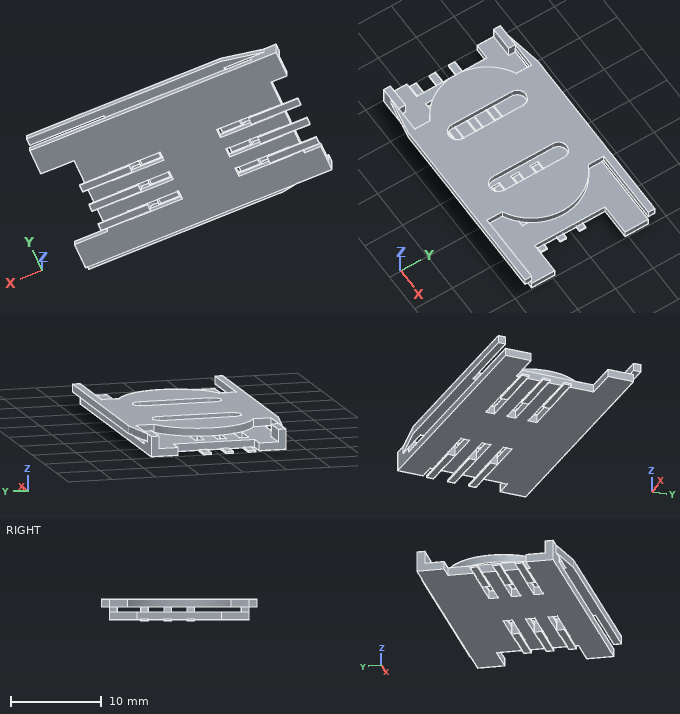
import cadquery as cq


length = 29.7
overall_width = 17.2
overall_height = 2.4

base_width = 15.45
base_bottom = 0.1
base_thickness = 0.9
base_top = base_bottom + base_thickness
wall_length = 3.03
wall_thickness = 0.9
notch_width = 9.3
front_notch_depth = 1.95
rear_notch_depth = 4.0

cover_thickness = 0.9
cover_bottom = overall_height - cover_thickness
taper_start = 1.48
plate_front = 6.27
plate_rear = 20.75
bulge_height = 3.53
bulge_half_width = 5.7
slot_length = 10.13
slot_width = 2.2
slot_positions = (9.12, 17.37)

mirror_x = 13.15
contact_pitch = 2.55
contact_offsets = (contact_pitch / 2, -contact_pitch / 2, -3 * contact_pitch / 2)
contact_width = 0.85
contact_thickness = 0.2
crown_x = 6.47
crown_outer_radius = 0.7
crown_inner_radius = crown_outer_radius - contact_thickness
crown_z = base_top
tip_x = 9.45
tip_top = base_top + contact_thickness / 2
tip_bottom = tip_top - contact_thickness

front_window_start = 3.33
rear_window_start = 3.55
window_end = 9.75
window_width = 1.05


def box(x_start, x_end, y_centre, width, z_start, z_end):
    """Axis-aligned block given by its X and Z ranges and its width centred on y_centre."""
    return (
        cq.Workplane("XY")
        .box(x_end - x_start, width, z_end - z_start, centered=(False, True, False))
        .translate((x_start, y_centre, z_start))
    )


def make_front_contact(y_centre):
    """Bent strip: flat tail, riser, round crown and flat tip."""
    tail_end = crown_x - crown_inner_radius
    riser_outer = crown_x - crown_outer_radius
    drop_inner = crown_x + crown_inner_radius
    drop_outer = crown_x + crown_outer_radius
    return (
        cq.Workplane("XZ")
        .moveTo(0, 0)
        .lineTo(tail_end, 0)
        .lineTo(tail_end, crown_z)
        .threePointArc((crown_x, crown_z + crown_inner_radius), (drop_inner, crown_z))
        .lineTo(drop_inner, tip_bottom)
        .lineTo(tip_x, tip_bottom)
        .lineTo(tip_x, tip_top)
        .lineTo(drop_outer, tip_top)
        .lineTo(drop_outer, crown_z)
        .threePointArc((crown_x, crown_z + crown_outer_radius), (riser_outer, crown_z))
        .lineTo(riser_outer, contact_thickness)
        .lineTo(0, contact_thickness)
        .close()
        .extrude(contact_width / 2, both=True)
        .translate((0, y_centre, 0))
    )


def base_relief(y_centre, window_start):
    """Space one front contact takes in the base: a through window and a shallow tail groove."""
    window = box(window_start, window_end, y_centre, window_width, 0, base_top)
    tail_groove = box(0, window_start, y_centre, contact_width, 0, contact_thickness)
    return window.union(tail_groove)


def crown_relief(y_centre):
    """Round groove in the underside of the cover that takes the crown of one front contact."""
    return (
        cq.Workplane("XZ")
        .center(crown_x, crown_z)
        .circle(crown_outer_radius)
        .extrude(contact_width / 2, both=True)
        .translate((0, y_centre, 0))
    )


def mirror_to_rear(feature):
    """Mirror a feature of the front contact row into the rear row."""
    return feature.mirror("YZ", (mirror_x, 0, 0))


def both_rows(make_front):
    """Build a feature at every contact place, in the front row and mirrored into the rear row."""
    front_row = [make_front(y_centre) for y_centre in contact_offsets]
    return front_row + [mirror_to_rear(feature) for feature in front_row]


def make_base():
    """Tray with a notch at each end, two guide walls and openings for the contacts."""
    base = box(0, length, 0, base_width, base_bottom, base_top)
    for side in (-1, 1):
        wall_y = side * (base_width - wall_thickness) / 2
        base = base.union(box(0, wall_length, wall_y, wall_thickness, base_bottom, overall_height))
    base = base.cut(box(0, front_notch_depth, 0, notch_width, base_bottom, base_top))
    base = base.cut(box(length - rear_notch_depth, length, 0, notch_width, base_bottom, base_top))
    for y_centre in contact_offsets:
        base = base.cut(base_relief(y_centre, front_window_start))
        base = base.cut(mirror_to_rear(base_relief(y_centre, rear_window_start)))
    return base


def make_cover():
    """Plate with rounded bulges at both ends, tapered side arms, two finger slots and crown grooves."""
    inner_y = base_width / 2
    outer_y = overall_width / 2
    cover = (
        cq.Workplane("XY", origin=(0, 0, cover_bottom))
        .moveTo(taper_start, inner_y)
        .lineTo(plate_front, outer_y)
        .lineTo(length, outer_y)
        .lineTo(length, inner_y)
        .lineTo(plate_rear, inner_y)
        .lineTo(plate_rear, bulge_half_width)
        .threePointArc((plate_rear + bulge_height, 0), (plate_rear, -bulge_half_width))
        .lineTo(plate_rear, -inner_y)
        .lineTo(length, -inner_y)
        .lineTo(length, -outer_y)
        .lineTo(plate_front, -outer_y)
        .lineTo(taper_start, -inner_y)
        .lineTo(plate_front, -inner_y)
        .lineTo(plate_front, -bulge_half_width)
        .threePointArc((plate_front - bulge_height, 0), (plate_front, bulge_half_width))
        .lineTo(plate_front, inner_y)
        .close()
        .extrude(cover_thickness)
    )
    slots = (
        cq.Workplane("XY", origin=(0, 0, cover_bottom))
        .pushPoints([(slot_x, 0) for slot_x in slot_positions])
        .slot2D(slot_length, slot_width, 90)
        .extrude(cover_thickness)
    )
    cover = cover.cut(slots)
    for relief in both_rows(crown_relief):
        cover = cover.cut(relief)
    return cover


base = make_base()
cover = make_cover()
contacts = both_rows(make_front_contact)

bodies = [base, cover, *contacts]
result = cq.Compound.makeCompound([body.solids().val() for body in bodies])